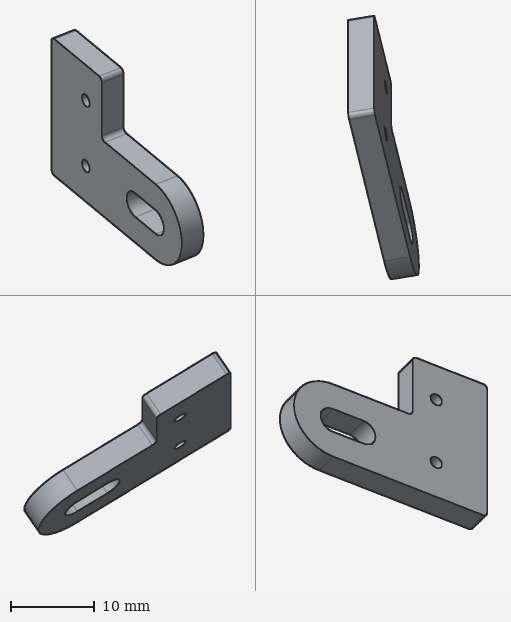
import cadquery as cq

length = 27.3
height = 19.94
thickness = 3.17

leg_width = 10.55
arm_height = 11.0
arm_radius = arm_height / 2
arm_center_x = length - arm_radius
corner_radius = 0.6

slot_width = 3.45
slot_travel = 4.3
slot_length = slot_travel + slot_width
slot_center_x = arm_center_x - slot_travel / 2

hole_diameter = 1.6
hole_x = 7.2
lower_hole_z = 5.22
hole_spacing = 9.54
hole_points = [(hole_x, lower_hole_z), (hole_x, lower_hole_z + hole_spacing)]


def front_plane():
    """XZ sketch plane at the Y = 0 face; positive extrusion runs toward -Y."""
    return cq.Workplane("XZ")


def make_plate():
    """L-shaped plate with a full-round arm end and eased leg corners."""
    plate = (
        front_plane()
        .lineTo(arm_center_x, 0)
        .threePointArc((length, arm_radius), (arm_center_x, arm_height))
        .lineTo(leg_width, arm_height)
        .lineTo(leg_width, height)
        .lineTo(0, height)
        .close()
        .extrude(thickness)
    )
    rounded_corners = [(0, 0), (0, height), (leg_width, height), (leg_width, arm_height)]
    for x, z in rounded_corners:
        edge_middle = (x, -thickness / 2, z)
        plate = plate.edges(cq.NearestToPointSelector(edge_middle)).fillet(corner_radius)
    return plate


def make_slot():
    """Obround cutter through the arm."""
    return (
        front_plane()
        .center(slot_center_x, arm_radius)
        .slot2D(slot_length, slot_width)
        .extrude(thickness)
    )


def make_holes():
    """Round cutters through the leg."""
    return front_plane().pushPoints(hole_points).circle(hole_diameter / 2).extrude(thickness)


result = make_plate().cut(make_slot()).cut(make_holes())